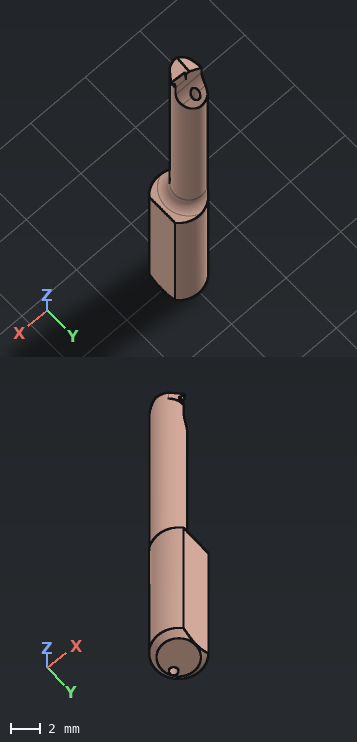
import cadquery as cq
import math

total_length = 34.0
shank_radius = 2.0
shank_length = 13.77
shank_flat_x = 1.53
end_chamfer = 0.5

neck_radius = 1.3
neck_x = -0.92
neck_fillet = 0.8

coolant_diameter = 0.65
coolant_x = -0.97
coolant_y = 0.6

face_y = 0.1
runout_radius = 1.7
runout_start_z = 31.9
runout_angle = math.radians(45)

nose_bottom_z = 32.7
nose_top_x = -0.9
nose_top_z = 33.83
nose_clearance = 3.0
top_clearance = 8.0

tooth_tip_x = 0.58
tooth_tip_y = -0.15
tooth_root_x = -0.07
tooth_bottom_z = 33.0
tooth_shoulder_z = 33.45
tooth_corner_z = 33.8

groove_start_x = -0.58
groove_depth = 0.17

neck_edge_x = neck_x + neck_radius
tooth_root_y = -math.sqrt(neck_radius**2 - (tooth_root_x - neck_x)**2)
cutting_edge_y = face_y - groove_depth
oversize = 6.8


def make_blank():
    """Shank and filleted neck, both inside the shank's round and flat outline."""
    shank = (
        cq.Workplane("XY").circle(shank_radius).extrude(total_length)
        .faces("<Z").chamfer(end_chamfer)
        .intersect(
            cq.Workplane("XY").box(shank_flat_x + oversize, oversize, total_length,
                                   centered=(False, True, False)).translate((-oversize, 0, 0))
        )
    )
    stepped_profile = (
        cq.Workplane("XZ")
        .lineTo(oversize, 0)
        .lineTo(oversize, shank_length)
        .lineTo(neck_radius + neck_fillet, shank_length)
        .radiusArc((neck_radius, shank_length + neck_fillet), neck_fillet)
        .lineTo(neck_radius, total_length)
        .lineTo(0, total_length)
        .close()
    )
    stepped_limit = stepped_profile.revolve(360, (0, 0, 0), (0, 1, 0)).translate((neck_x, 0, 0))
    return shank.intersect(stepped_limit)


def tooth_level_prism(points):
    """Prism over a plan outline, from the tooth bottom to the top of the part."""
    return (
        cq.Workplane("XY").workplane(offset=tooth_bottom_z)
        .polyline(points).close().extrude(total_length - tooth_bottom_z)
    )


def make_tooth():
    """Wedge with a flat flank that meets the neck surface at the tooth root."""
    wedge = tooth_level_prism([(tooth_root_x, tooth_root_y), (tooth_tip_x, tooth_tip_y),
                               (tooth_tip_x, face_y), (tooth_root_x, face_y)])
    side_outline = (
        cq.Workplane("XZ")
        .polyline([(tooth_root_x, tooth_bottom_z), (neck_edge_x, tooth_bottom_z),
                   (neck_edge_x, tooth_shoulder_z), (tooth_tip_x, tooth_corner_z),
                   (tooth_tip_x, total_length), (tooth_root_x, total_length)])
        .close().extrude(oversize, both=True)
    )
    return wedge.intersect(side_outline)


def make_flank_relief():
    """Neck material that stands outside the flat flank of the tooth."""
    return tooth_level_prism([(tooth_root_x, tooth_root_y), (tooth_tip_x, tooth_tip_y),
                              (tooth_tip_x, tooth_root_y)])


def make_cutaway():
    """Space in front of the cutting face, running out along an arc and a slope."""
    sine = math.sin(runout_angle)
    cosine = math.cos(runout_angle)
    arc_end_y = face_y + runout_radius * (1 - cosine)
    arc_end_z = runout_start_z - runout_radius * sine
    slope_end_y = shank_radius
    slope_end_z = arc_end_z - (slope_end_y - arc_end_y) * math.tan(runout_angle)
    half_angle = runout_angle / 2
    arc_middle = (
        face_y + runout_radius * (1 - math.cos(half_angle)),
        runout_start_z - runout_radius * math.sin(half_angle),
    )
    return (
        cq.Workplane("YZ")
        .moveTo(face_y, total_length)
        .lineTo(face_y, runout_start_z)
        .threePointArc(arc_middle, (arc_end_y, arc_end_z))
        .lineTo(slope_end_y, slope_end_z)
        .lineTo(slope_end_y, total_length)
        .close().extrude(oversize, both=True)
    )


def make_end_cutter(start, end, clearance):
    """Material above the end-face line through two XZ points, tilted for clearance."""
    start_x, start_z = start
    end_x, end_z = end
    slope = (end_z - start_z) / (end_x - start_x)
    left_z = start_z - slope * (start_x + oversize)
    right_z = end_z + slope * (oversize - end_x)
    ceiling_z = total_length + 2 * oversize
    return (
        cq.Workplane("XZ", origin=(0, cutting_edge_y, 0))
        .polyline([(-oversize, left_z), (oversize, right_z),
                   (oversize, ceiling_z), (-oversize, ceiling_z)])
        .close().extrude(oversize / 2, both=True)
        .rotate((0, cutting_edge_y, total_length), (1, cutting_edge_y, total_length), clearance)
    )


def make_chip_groove():
    """Sloping recess that deepens from the tooth bottom to its top."""
    return (
        cq.Workplane("YZ", origin=(groove_start_x, 0, 0))
        .polyline([(face_y, tooth_bottom_z), (face_y, total_length),
                   (cutting_edge_y, total_length)])
        .close().extrude(oversize)
    )


def make_coolant_hole():
    return (
        cq.Workplane("XY").center(coolant_x, coolant_y)
        .circle(coolant_diameter / 2).extrude(total_length)
    )


nose_start = (-shank_radius, nose_bottom_z)
nose_end = (nose_top_x, nose_top_z)
tooth_tip = (tooth_tip_x, total_length)

result = (
    make_blank()
    .union(make_tooth())
    .cut(make_cutaway())
    .cut(make_flank_relief())
    .cut(make_end_cutter(nose_start, nose_end, nose_clearance))
    .cut(make_end_cutter(nose_end, tooth_tip, top_clearance))
    .cut(make_chip_groove())
    .cut(make_coolant_hole())
)